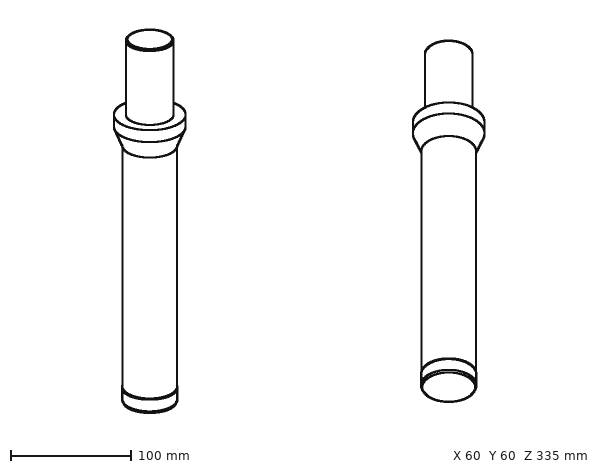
import cadquery as cq

total_height = 335.0
cap_height = 13.7
collar_taper_bottom = 236.5
collar_rim_bottom = 254.3
collar_top = 265.3

barrel_diameter = 45.5
cap_diameter = 46.2
collar_diameter = 60.0
spigot_diameter = 40.0

spigot_chamfer = 1.5
cap_bottom_chamfer_height = 2.0
cap_bottom_chamfer_width = 1.0
cap_top_chamfer_height = 1.0
cap_top_chamfer_width = (cap_diameter - barrel_diameter) / 2


def make_post():
    """Turned post: long barrel, tapered collar and a chamfered spigot."""
    barrel_radius = barrel_diameter / 2
    collar_radius = collar_diameter / 2
    spigot_radius = spigot_diameter / 2
    profile = (
        cq.Workplane("XZ")
        .moveTo(0, cap_height)
        .lineTo(barrel_radius, cap_height)
        .lineTo(barrel_radius, collar_taper_bottom)
        .lineTo(collar_radius, collar_rim_bottom)
        .lineTo(collar_radius, collar_top)
        .lineTo(spigot_radius, collar_top)
        .lineTo(spigot_radius, total_height)
        .lineTo(0, total_height)
        .close()
    )
    post = profile.revolve(360, (0, 0), (0, 1))
    return post.faces(">Z").edges().chamfer(spigot_chamfer)


def make_end_cap():
    """Disc under the barrel, chamfered at both rims; its upper chamfer narrows to the barrel."""
    cap = cq.Workplane("XY").circle(cap_diameter / 2).extrude(cap_height)
    cap = cap.faces("<Z").edges().chamfer(cap_bottom_chamfer_height, cap_bottom_chamfer_width)
    return cap.faces(">Z").edges().chamfer(cap_top_chamfer_height, cap_top_chamfer_width)


post = make_post()
end_cap = make_end_cap()

result = cq.Compound.makeCompound([post.val(), end_cap.val()])